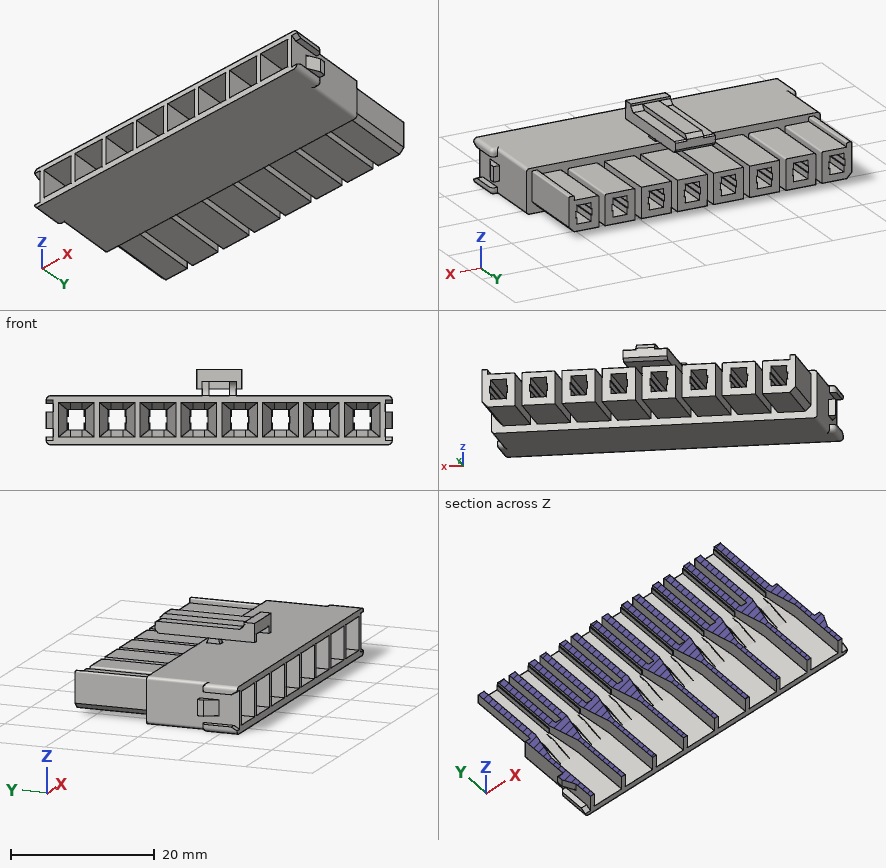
import cadquery as cq
positions = 8
pitch = 5.7

body_width = 46.3
body_depth = 13.95
body_height = 6.85
body_edge_radius = 0.5

overall_width = 48.25
lip_length = 5.3
lip_height = 1.1
lip_radius = 0.65
lip_inset = 1.5
lip_ramp_length = 0.85
bump_front = 3.1
bump_peak = 5.0
bump_back = 5.95
bump_bottom = 2.25
bump_top = 4.6

tower_width = 4.75
tower_back = 25.0
tower_bottom = 1.0
tower_top = 5.75
tower_edge_radius = 0.25
end_tower_chamfer = 0.8
rib_back_width = 0.8
rib_front_width = 0.95
rib_top = 6.4
rib_radius = 0.2

cavity_width = 4.95
cavity_bottom = 1.05
cavity_height = 4.85
cavity_depth = 9.15
bore_width = 2.2
bore_height = 2.8
bore_slot_width = 2.5
bore_slot_height = 0.95
ridge_width = 1.65
ridge_slope_end = 12.55

latch_width = 6.25
latch_front = 5.6
latch_back = 20.5
latch_bottom = 7.75
latch_top = 10.2
thumb_top = 10.5
thumb_length = 1.6
back_top_chamfer = 0.65
back_bottom_chamfer = 0.5
rail_width = 2.65
wing_top = 9.45
wing_ramp_start = 7.15
wing_end_length = 0.35
wing_end_drop = 0.15
channel_width = 4.8
channel_top = 8.85
channel_back = 13.05

post_width = 0.95
post_foot_front = 11.05
post_foot_back = 13.1
post_waist_front = 11.3
post_waist_back = 12.75
post_middle_front = 11.25
post_middle_back = 12.9
post_flare_radius = 1.25

overlap = 0.5


def block(x_min, x_max, y_min, y_max, z_min, z_max):
    size = (x_max - x_min, y_max - y_min, z_max - z_min)
    return cq.Workplane("XY").box(*size, centered=False).translate((x_min, y_min, z_min))


def centered_block(width, y_min, y_max, z_min, z_max):
    return block(-width / 2, width / 2, y_min, y_max, z_min, z_max)


def mirrored_ends(feature):
    return feature.union(feature.mirror("YZ"))


def make_body():
    body = centered_block(body_width, 0, body_depth, 0, body_height)
    return body.edges("|Y").fillet(body_edge_radius)


def make_lips():
    """Rounded lips on the -X end, with a ramp leading in between them at the front."""
    outer = -overall_width / 2
    lip_bottom = body_height - lip_height
    lip = block(outer, outer + lip_inset, 0, lip_length, lip_bottom, body_height)
    lip = lip.edges("(<X and >Z) or (<X and >Y) or (>Y and >Z)").fillet(lip_radius)
    ramp = (
        cq.Workplane("YZ")
        .moveTo(0, lip_bottom)
        .lineTo(lip_ramp_length, lip_bottom)
        .lineTo(0, body_height - lip_radius)
        .close()
        .extrude((overall_width - body_width) / 2)
        .translate((outer, 0, 0))
    )
    lip = lip.cut(ramp)
    lower_lip = lip.mirror("XY", (0, 0, body_height / 2))
    return lip.union(lower_lip)


def make_bump():
    """Latching bump on the -X end: sloped at the front, square at the back."""
    wall = -body_width / 2
    outer = -overall_width / 2
    return (
        cq.Workplane("XY")
        .moveTo(wall, bump_front)
        .lineTo(outer, bump_peak)
        .lineTo(outer, bump_back)
        .lineTo(wall + overlap, bump_back)
        .lineTo(wall + overlap, bump_front)
        .close()
        .extrude(bump_top - bump_bottom)
        .translate((0, 0, bump_bottom))
    )


def make_tower():
    return centered_block(tower_width, body_depth - overlap, tower_back, tower_bottom, tower_top)


def make_rounded_tower():
    return make_tower().edges("|Y and >Z").fillet(tower_edge_radius)


def make_end_tower():
    """Tower for the -X end, with a slightly wedge-shaped rib on its outer side and a chamfer below it."""
    outer = -tower_width / 2
    tower = make_tower().edges("|Y and >Z and >X").fillet(tower_edge_radius)
    tower = tower.edges("|Y and <Z and <X").chamfer(end_tower_chamfer)
    rib_bottom = tower_top - overlap
    rib = (
        cq.Workplane("XY")
        .moveTo(outer, body_depth)
        .lineTo(outer, tower_back)
        .lineTo(outer + rib_back_width, tower_back)
        .lineTo(outer + rib_front_width, body_depth)
        .close()
        .extrude(rib_top - rib_bottom)
        .translate((0, 0, rib_bottom))
    )
    rib = rib.faces(">Z").edges("not |X").fillet(rib_radius)
    return tower.union(rib)


def make_tower_row():
    """Square-edged towers in the middle, two edge-rounded ones, and a ribbed one at each end."""
    left_half = [make_end_tower(), make_rounded_tower(), make_tower(), make_tower()]
    row = cq.Workplane("XY")
    for index, tower in enumerate(left_half):
        row = row.union(tower.translate((position_x(index), 0, 0)))
    return mirrored_ends(row)


def position_x(index):
    return (index - (positions - 1) / 2) * pitch


def taper(width_start, height_start, width_end, height_end, end):
    """Four-sided taper from the back of the square opening to Y = end, centred on the Y axis."""
    return (
        cq.Workplane("XZ", origin=(0, cavity_depth, 0))
        .rect(width_start, height_start)
        .workplane(offset=cavity_depth - end)
        .rect(width_end, height_end)
        .loft(ruled=True)
    )


def make_funnel():
    """Funnel towards the bore, with a steeper ridge along the middle of its floor and its roof."""
    half_opening = cavity_height / 2
    half_bore = bore_height / 2
    funnel = taper(cavity_width, cavity_height, bore_slot_width, bore_height, body_depth)
    ridges = centered_block(ridge_width, cavity_depth, body_depth, -half_opening, half_opening)
    ridges = ridges.cut(taper(ridge_width, cavity_height, ridge_width, bore_height, ridge_slope_end))
    ridges = ridges.cut(centered_block(ridge_width, ridge_slope_end, body_depth, -half_bore, half_bore))
    return funnel.cut(ridges)


def make_cavity():
    """Square opening, ridged funnel and narrow bore through the tower."""
    half_height = cavity_height / 2
    cavity = centered_block(cavity_width, 0, cavity_depth, -half_height, half_height)
    cavity = cavity.union(make_funnel())
    for width, height in ((bore_width, bore_height), (bore_slot_width, bore_slot_height)):
        bore = centered_block(width, body_depth - overlap, tower_back, -height / 2, height / 2)
        cavity = cavity.union(bore)
    return cavity.translate((0, 0, cavity_bottom + half_height))


def make_latch():
    """Lever with a raised thumb end, a central rail and lower wings beside the rail."""
    thumb_back = latch_front + thumb_length
    latch = (
        cq.Workplane("YZ")
        .moveTo(latch_front, latch_bottom)
        .lineTo(latch_front, thumb_top)
        .lineTo(thumb_back, thumb_top)
        .lineTo(thumb_back, latch_top)
        .lineTo(latch_back - back_top_chamfer, latch_top)
        .lineTo(latch_back, latch_top - back_top_chamfer)
        .lineTo(latch_back, latch_bottom + back_bottom_chamfer)
        .lineTo(latch_back - back_bottom_chamfer, latch_bottom)
        .close()
        .extrude(latch_width / 2, both=True)
    )
    wing_drop = latch_top - wing_top
    wing_relief = (
        cq.Workplane("YZ")
        .moveTo(wing_ramp_start, latch_top)
        .lineTo(wing_ramp_start + wing_drop, wing_top)
        .lineTo(latch_back - wing_end_length, wing_top)
        .lineTo(latch_back, wing_top - wing_end_drop)
        .lineTo(latch_back, latch_top)
        .close()
        .extrude((latch_width - rail_width) / 2)
        .translate((-latch_width / 2, 0, 0))
    )
    channel = centered_block(channel_width, latch_front, channel_back, latch_bottom, channel_top)
    return latch.cut(mirrored_ends(wing_relief)).cut(channel)


def make_post(x_min, flared):
    """Post from the body up into the channel roof; a flared one curves forward to meet the roof."""
    foot = body_height
    foot_middle = (foot + latch_bottom) / 2
    profile = cq.Workplane("YZ").moveTo(post_foot_front, foot - overlap).lineTo(post_foot_front, foot)
    if flared:
        bulge = (post_waist_front, channel_top - post_flare_radius)
        roof = (post_waist_front - post_flare_radius, channel_top)
        profile = profile.threePointArc(bulge, roof)
        profile = profile.lineTo(roof[0], channel_top + overlap)
    else:
        profile = profile.threePointArc((post_middle_front, foot_middle), (post_waist_front, latch_bottom))
        profile = profile.lineTo(post_waist_front, channel_top + overlap)
    return (
        profile.lineTo(post_waist_back, channel_top + overlap)
        .lineTo(post_waist_back, latch_bottom)
        .threePointArc((post_middle_back, foot_middle), (post_foot_back, foot))
        .lineTo(post_foot_back, foot - overlap)
        .close()
        .extrude(post_width)
        .translate((x_min, 0, 0))
    )


result = make_body()
result = result.union(mirrored_ends(make_lips()))
result = result.union(mirrored_ends(make_bump()))
result = result.union(make_tower_row())
result = result.union(make_latch())
result = result.union(make_post(-channel_width / 2, flared=False))
result = result.union(make_post(channel_width / 2 - post_width, flared=True))
for index in range(positions):
    result = result.cut(make_cavity().translate((position_x(index), 0, 0)))